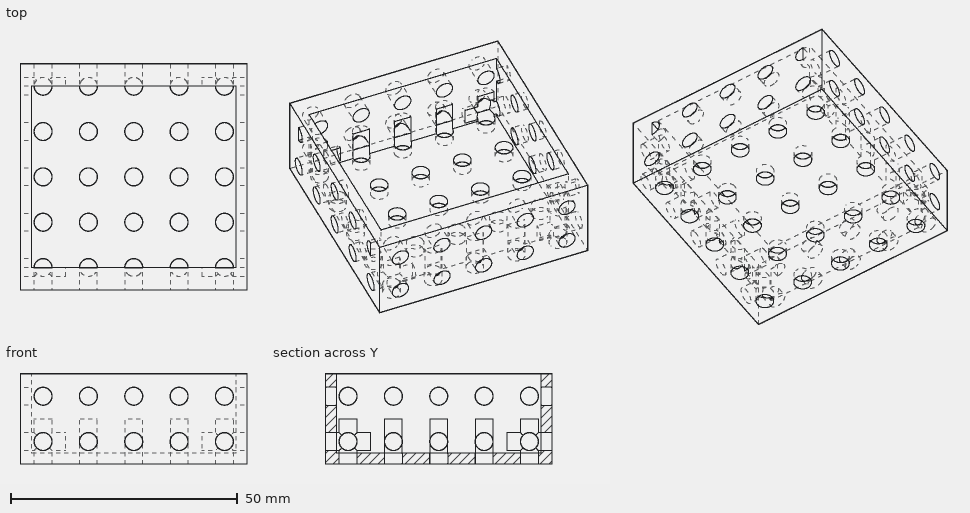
import cadquery as cq

pitch = 10.0
columns = 5
rows = 2
length = columns * pitch
height = rows * pitch
end_wall = 2.5
side_wall = 5.0
floor = 2.5
hole_diameter = 3.9
blind_depth = pitch

cavity_length = length - 2 * end_wall
cavity_width = length - 2 * side_wall
column_places = [(i - (columns - 1) / 2) * pitch for i in range(columns)]
lower_row = pitch / 2
upper_row = lower_row + pitch


def box_with_cavity():
    body = cq.Workplane("XY").box(length, length, height, centered=(True, True, False))
    cavity = (
        cq.Workplane("XY", origin=(0, 0, floor))
        .box(cavity_length, cavity_width, height, centered=(True, True, False))
    )
    return body.cut(cavity)


def pins(plane, places, depth):
    """Hole cutters that start on a plane and run along its normal."""
    return cq.Workplane(plane).pushPoints(places).circle(hole_diameter / 2).extrude(depth)


def end_face_plane(side):
    """Plane on the -X (side = -1) or +X (side = 1) face, with its normal into the part."""
    return cq.Plane(origin=(side * length / 2, 0, 0), xDir=(0, 1, 0), normal=(-side, 0, 0))


def drill_side_walls(part):
    """Both rows of holes run along Y through both thick walls."""
    face = cq.Plane(origin=(0, -length / 2, 0), xDir=(1, 0, 0), normal=(0, 1, 0))
    places = [(x, -z) for x in column_places for z in (lower_row, upper_row)]
    return part.cut(pins(face, places, length))


def drill_floor(part):
    """Holes from below; the outer rows run blind up into the thick walls."""
    places = [(x, y) for x in column_places for y in column_places]
    return part.cut(pins("XY", places, blind_depth))


def drill_end_walls(part):
    """Lower holes are full circles; upper ones stop at the inner faces of the thick walls."""
    cavity_band = cq.Workplane("XY").box(length, cavity_width, 2 * height)
    for side in (-1, 1):
        plane = end_face_plane(side)
        up = plane.yDir.z
        lower = pins(plane, [(y, up * lower_row) for y in column_places], blind_depth)
        upper = pins(plane, [(y, up * upper_row) for y in column_places], end_wall)
        part = part.cut(lower).cut(upper.intersect(cavity_band))
    return part


result = drill_end_walls(drill_floor(drill_side_walls(box_with_cavity())))